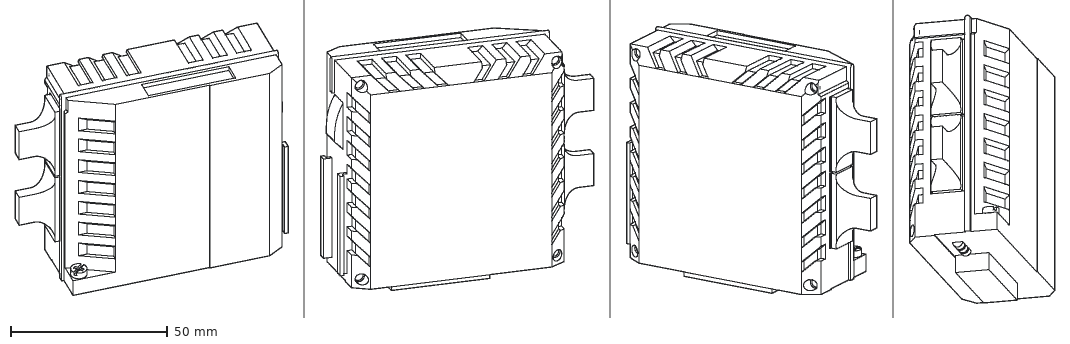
import cadquery as cq

WIDTH = 30.7
LENGTH = 72.1
HEIGHT = 72.1

BEVEL_X = 3.35
BEVEL_INSET = 5.4

RIGHT_PAD_THICKNESS = 0.3
RIGHT_PAD_START_Y = 46.4

FRONT_STEP_DEPTH = 0.8
FRONT_STEP_Z = 66.7
FRONT_STEP_SLOPE = 0.7

CORNER_X = 23.1
CORNER_Y = 14.45
LEDGE_Z = 6.1

BOTTOM_STEP_X = 9.8
BOTTOM_STEP_HEIGHT = 0.3

RIB_X = 21.0
RIB_WIDTH = 1.85
RIB_HEIGHT = 0.8
RIB_REAR_END_Z = 60.8

GROOVE_DEPTH = 1.7
GROOVE_MOUTH = 5.0
GROOVE_PITCH = 8.2
FIRST_GROOVE_OFFSET = 6.6
SIDE_GROOVE_COUNT = 7
FRONT_GROOVE_END_X = 5.9
TOP_GROOVE_COUNT = 3
TOP_GROOVE_END_X = 16.8

POCKET_X = 25.1
POCKET_DEPTH = 1.3
POCKET_CEILING_DROP = 1.3

LABEL_X = 23.1
LABEL_WIDTH = 6.5
LABEL_Y = 26.0
LABEL_LENGTH = 29.6
LABEL_DEPTH = 1.5

HOLE_RADIUS = 1.85
HOLE_END_X = 4.85
HOLE_INSET = 2.9
LOW_HOLE_Z = 3.2
HOLE_FLOOR_CHAMFER = 0.35

SCREW_X = 27.75
SCREW_Y = 3.0
SCREW_RADIUS = 2.6
SCREW_HEIGHT = 2.2
SCREW_SLOT_WIDTH = 1.0
SCREW_SLOT_DEPTH = 1.1
SCREW_SHORT_SLOT = 3.2
SCREW_SLOT_ANGLE = -45

BLOCK_X = 10.3
BLOCK_WIDTH = 11.1
BLOCK_Y = 22.8
BLOCK_LENGTH = 33.3
BLOCK_HEIGHT = 5.5
LAMP_X = 14.8
LAMP_RADIUS = 1.7
LAMP_LENGTH = 2.6
LAMP_Y = 9.4
LAMP_PITCH = 3.6
LAMP_COUNT = 3

REAR_PROJECTION = 2.9
RAIL_Z = 3.5
RAIL_HEIGHT = 34.1
RAIL_THICKNESS = 1.2
RAIL_FOOT_WIDTH = 2.8
LEFT_RAIL_X = 8.7
RIGHT_RAIL_X = 22.5
WEDGE_X = 11.5
WEDGE_WIDTH = 8.2
WEDGE_BOTTOM_Z = 44.5
WEDGE_TOP_Z = 60.4
WEDGE_TIP_HEIGHT = 2.2

PLUG_X = 14.2
PLUG_Z = 26.7
PLUG_PITCH = 25.8
PLUG_COUNT = 2
PLUG_HEIGHT = 25.2
FLANGE_WIDTH = 11.3
FLANGE_THICKNESS = 0.3
BASE_WIDTH = 9.9
BASE_END = 2.1
TIP_WIDTH = 3.9
TIP_HEIGHT = 11.0
TIP_START = 8.0
OVERALL_LENGTH = 88.1
PLUG_LENGTH = OVERALL_LENGTH - LENGTH - REAR_PROJECTION

REAR_GROOVE_END_X = LEFT_RAIL_X - RAIL_THICKNESS

SIDE_GROOVE_TOPS = [
    HEIGHT - FIRST_GROOVE_OFFSET - i * GROOVE_PITCH for i in range(SIDE_GROOVE_COUNT)
]
TOP_GROOVE_STARTS = [FIRST_GROOVE_OFFSET + i * GROOVE_PITCH for i in range(TOP_GROOVE_COUNT)]


def box(x, y, z, dx, dy, dz):
    """Box from its lowest corner and its three sizes."""
    return cq.Workplane("XY").box(dx, dy, dz, centered=False).translate((x, y, z))


def prism_along_x(points, x_start, x_end):
    """Prism along X from an outline of (y, z) points."""
    return cq.Workplane("YZ", origin=(x_start, 0, 0)).polyline(points).close().extrude(x_end - x_start)


def prism_along_y(points, y_start, y_end):
    """Prism along Y from an outline of (x, z) points."""
    return cq.Workplane("XZ", origin=(0, y_start, 0)).polyline(points).close().extrude(y_start - y_end)


def prism_along_z(points, z_start, z_end):
    """Prism along Z from an outline of (x, y) points."""
    return cq.Workplane("XY", origin=(0, 0, z_start)).polyline(points).close().extrude(z_end - z_start)


def mirror_front_to_rear(shape):
    return shape.mirror("XZ", (0, LENGTH / 2, 0))


def housing_block():
    """Beveled block with the pad on its right face."""
    right = WIDTH + RIGHT_PAD_THICKNESS
    plan = [
        (BEVEL_X, 0),
        (WIDTH, 0),
        (WIDTH, RIGHT_PAD_START_Y),
        (right, RIGHT_PAD_START_Y),
        (right, LENGTH - BEVEL_INSET),
        (right - BEVEL_X, LENGTH),
        (BEVEL_X, LENGTH),
        (0, LENGTH - BEVEL_INSET),
        (0, BEVEL_INSET),
    ]
    top_bevel = [(0, HEIGHT - BEVEL_INSET), (BEVEL_X, HEIGHT), (0, HEIGHT)]
    return prism_along_z(plan, 0, HEIGHT).cut(prism_along_y(top_bevel, 0, LENGTH))


def front_step():
    """Material removed along the top of the front face."""
    side = [
        (0, FRONT_STEP_Z),
        (FRONT_STEP_DEPTH, FRONT_STEP_Z + FRONT_STEP_SLOPE),
        (FRONT_STEP_DEPTH, HEIGHT),
        (0, HEIGHT),
    ]
    return prism_along_x(side, 0, WIDTH)


def slanted_corner():
    """Material removed from the front right corner above the ledge."""
    return prism_along_z([(CORNER_X, 0), (WIDTH, 0), (WIDTH, CORNER_Y)], LEDGE_Z, HEIGHT)


def groove_skin(end_x):
    """Outline of the layer that grooves remove, as (x, distance below the face) points."""
    slope = BEVEL_X / BEVEL_INSET
    floor_x = GROOVE_DEPTH
    return [
        (0, BEVEL_INSET),
        (floor_x, BEVEL_INSET),
        (floor_x + (BEVEL_INSET - GROOVE_DEPTH) * slope, GROOVE_DEPTH),
        (end_x, GROOVE_DEPTH),
        (end_x, 0),
        (BEVEL_X, 0),
    ]


def groove_band(start):
    """Outline of one groove across the bevel, as (distance below the face, position) points."""
    square_wall = start + GROOVE_MOUTH
    return [
        (0, start),
        (0, square_wall),
        (GROOVE_DEPTH, square_wall),
        (BEVEL_INSET, square_wall + BEVEL_INSET - GROOVE_DEPTH),
        (BEVEL_INSET, start + BEVEL_INSET),
    ]


def side_groove(top, end_x):
    """Groove in the front face."""
    band = [(depth, HEIGHT - down) for depth, down in groove_band(HEIGHT - top)]
    skin = prism_along_z(groove_skin(end_x), 0, HEIGHT)
    return skin.intersect(prism_along_x(band, 0, end_x))


def top_groove(start):
    """Groove in the front half of the top face."""
    band = [(position, HEIGHT - depth) for depth, position in groove_band(start)]
    skin = [(x, HEIGHT - depth) for x, depth in groove_skin(TOP_GROOVE_END_X)]
    return prism_along_y(skin, 0, LENGTH).intersect(prism_along_x(band, 0, TOP_GROOVE_END_X))


def corner_pocket(top):
    """Pocket in the slanted corner, with its ceiling sloping down towards the floor."""
    bottom = top - GROOVE_MOUTH
    section = [(0, bottom), (0, top), (POCKET_DEPTH, top - POCKET_CEILING_DROP), (POCKET_DEPTH, bottom)]
    along = cq.Vector(WIDTH - CORNER_X, CORNER_Y, 0)
    inward = cq.Vector(-CORNER_Y, WIDTH - CORNER_X, 0)
    slant = cq.Plane(origin=(CORNER_X, 0, 0), xDir=inward, normal=along)
    groove = cq.Workplane(slant).polyline(section).close().extrude(2 * along.Length)
    return groove.intersect(box(POCKET_X, 0, 0, WIDTH, CORNER_Y, HEIGHT))


def screw_hole(y, z):
    """Blind hole along X with a chamfered floor edge."""
    drill = cq.Workplane("YZ").center(y, z).circle(HOLE_RADIUS).extrude(HOLE_END_X)
    return drill.faces(">X").chamfer(HOLE_FLOOR_CHAMFER)


def rib():
    """Rib over the front, top and upper rear, rounded along the top."""
    left = RIB_X - RIB_WIDTH / 2
    right = RIB_X + RIB_WIDTH / 2
    front = box(
        left,
        -RIB_HEIGHT,
        BOTTOM_STEP_HEIGHT,
        RIB_WIDTH,
        RIB_HEIGHT + FRONT_STEP_DEPTH,
        HEIGHT - BOTTOM_STEP_HEIGHT,
    )
    rear = box(left, LENGTH, RIB_REAR_END_Z, RIB_WIDTH, RIB_HEIGHT, HEIGHT - RIB_REAR_END_Z)
    top = (
        cq.Workplane("XZ", origin=(0, -RIB_HEIGHT, 0))
        .moveTo(left, HEIGHT)
        .threePointArc((RIB_X, HEIGHT + RIB_HEIGHT), (right, HEIGHT))
        .close()
        .extrude(-(LENGTH + 2 * RIB_HEIGHT))
    )
    return front.union(rear).union(top)


def screw_head():
    """Screw head on the ledge, with a long slot crossed by a short one."""
    head = cq.Workplane("XY").circle(SCREW_RADIUS).extrude(SCREW_HEIGHT)
    slot_floor = cq.Workplane("XY", origin=(0, 0, SCREW_HEIGHT - SCREW_SLOT_DEPTH))
    long_slot = slot_floor.rect(2 * SCREW_RADIUS, SCREW_SLOT_WIDTH).extrude(SCREW_SLOT_DEPTH)
    short_slot = slot_floor.rect(SCREW_SLOT_WIDTH, SCREW_SHORT_SLOT).extrude(SCREW_SLOT_DEPTH)
    head = head.cut(long_slot).cut(short_slot)
    return head.rotate((0, 0, 0), (0, 0, 1), SCREW_SLOT_ANGLE).translate((SCREW_X, SCREW_Y, LEDGE_Z))


def lamp(y):
    """Half-round indicator on the underside."""
    return (
        cq.Workplane("XZ", origin=(0, y, 0))
        .moveTo(LAMP_X - LAMP_RADIUS, BOTTOM_STEP_HEIGHT)
        .lineTo(LAMP_X + LAMP_RADIUS, BOTTOM_STEP_HEIGHT)
        .threePointArc(
            (LAMP_X, BOTTOM_STEP_HEIGHT - LAMP_RADIUS),
            (LAMP_X - LAMP_RADIUS, BOTTOM_STEP_HEIGHT),
        )
        .close()
        .extrude(-LAMP_LENGTH)
    )


def mounting_rail(web_x, foot_x):
    """L-shaped rail on the rear face."""
    web = box(web_x, LENGTH, RAIL_Z, RAIL_THICKNESS, REAR_PROJECTION, RAIL_HEIGHT)
    foot_y = LENGTH + REAR_PROJECTION - RAIL_THICKNESS
    return web.union(box(foot_x, foot_y, RAIL_Z, RAIL_FOOT_WIDTH, RAIL_THICKNESS, RAIL_HEIGHT))


def snap_wedge():
    """Wedge on the rear face, curving back to the face at its top."""
    tip_y = LENGTH + REAR_PROJECTION
    tip_bottom = WEDGE_BOTTOM_Z + REAR_PROJECTION
    tip_top = tip_bottom + WEDGE_TIP_HEIGHT
    return (
        cq.Workplane("YZ", origin=(WEDGE_X, 0, 0))
        .moveTo(LENGTH, WEDGE_BOTTOM_Z)
        .lineTo(tip_y, tip_bottom)
        .lineTo(tip_y, tip_top)
        .tangentArcPoint((LENGTH, WEDGE_TOP_Z), relative=False)
        .close()
        .extrude(WEDGE_WIDTH)
    )


def make_housing():
    body = housing_block().cut(front_step()).cut(slanted_corner())
    for top in SIDE_GROOVE_TOPS:
        rear_groove = mirror_front_to_rear(side_groove(top, REAR_GROOVE_END_X))
        body = body.cut(side_groove(top, FRONT_GROOVE_END_X)).cut(rear_groove).cut(corner_pocket(top))
    for start in TOP_GROOVE_STARTS:
        groove = top_groove(start)
        body = body.cut(groove).cut(mirror_front_to_rear(groove))
    for y in (HOLE_INSET, LENGTH - HOLE_INSET):
        for z in (LOW_HOLE_Z, HEIGHT - HOLE_INSET):
            body = body.cut(screw_hole(y, z))
    body = body.cut(box(BOTTOM_STEP_X, 0, 0, WIDTH, LENGTH, BOTTOM_STEP_HEIGHT))
    body = body.cut(box(LABEL_X, LABEL_Y, HEIGHT - LABEL_DEPTH, LABEL_WIDTH, LABEL_LENGTH, LABEL_DEPTH))

    body = body.union(rib()).union(screw_head())
    block_height = BLOCK_HEIGHT + BOTTOM_STEP_HEIGHT
    body = body.union(box(BLOCK_X, BLOCK_Y, -BLOCK_HEIGHT, BLOCK_WIDTH, BLOCK_LENGTH, block_height))
    for i in range(LAMP_COUNT):
        body = body.union(lamp(LAMP_Y + i * LAMP_PITCH))
    body = body.union(mounting_rail(LEFT_RAIL_X - RAIL_THICKNESS, LEFT_RAIL_X - RAIL_FOOT_WIDTH))
    body = body.union(mounting_rail(RIGHT_RAIL_X, RIGHT_RAIL_X))
    return body.union(snap_wedge())


def flared_outline(plane, base_size, tip_size):
    """Closed outline on a plane whose second axis runs from the housing to the plug's tip."""
    base = base_size / 2
    tip = tip_size / 2
    return (
        cq.Workplane(plane)
        .moveTo(0, PLUG_LENGTH)
        .lineTo(tip, PLUG_LENGTH)
        .lineTo(tip, TIP_START)
        .tangentArcPoint((base, BASE_END), relative=False)
        .lineTo(base, 0)
        .lineTo(0, 0)
        .mirrorY()
    )


def make_plug(z):
    """Plug on a thin flange, flaring from its narrow tip to its base in both directions."""
    half_height = PLUG_HEIGHT / 2
    across = cq.Plane(origin=(0, 0, -half_height), xDir=(-1, 0, 0), normal=(0, 0, 1))
    upright = cq.Plane(origin=(-BASE_WIDTH / 2, 0, 0), xDir=(0, 0, 1), normal=(1, 0, 0))
    flare = flared_outline(across, BASE_WIDTH, TIP_WIDTH).extrude(PLUG_HEIGHT)
    flare = flare.intersect(flared_outline(upright, PLUG_HEIGHT, TIP_HEIGHT).extrude(BASE_WIDTH))
    flange = cq.Workplane("XZ").rect(FLANGE_WIDTH, PLUG_HEIGHT).extrude(FLANGE_THICKNESS)
    return flare.union(flange).translate((PLUG_X, 0, z))


housing = make_housing()
plugs = [make_plug(PLUG_Z + i * PLUG_PITCH) for i in range(PLUG_COUNT)]

result = cq.Compound.makeCompound([housing.val(), *[plug.val() for plug in plugs]])